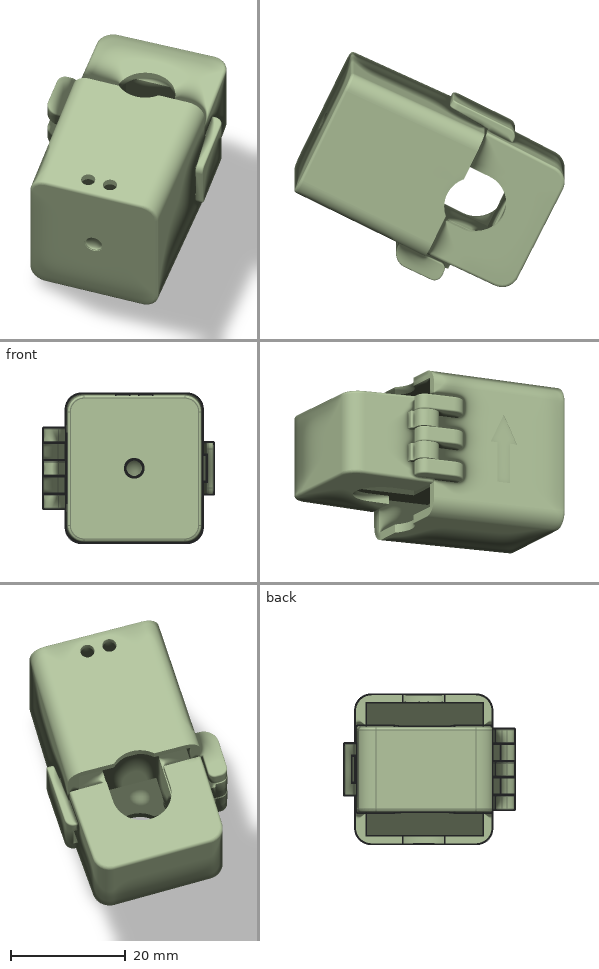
import cadquery as cq
import math


SHELL = 1.5
EDGE_ROUND = 0.5
ROOT_OVERLAP = 1.27

HOUSING_LENGTH = 25.6
HOUSING_WIDTH = 24.05
HOUSING_HEIGHT = 26.2
HOUSING_DRAFT = 0.7
HOUSING_CORNER = 2.9
SCREW_PORT_RADIUS = 1.25
SCREW_PORT_SPACING = 4.0
SCREW_PORT_Y = 3.1
END_WALL = 1.85
DIMPLE_RADIUS = 1.5
DIMPLE_RIM_RADIUS = 1.65
DIMPLE_RIM_DEPTH = 0.13
CABLE_RADIUS = 5.22
CABLE_Y = 29.35

ARROW_Y = 12.0
ARROW_HEIGHT = 12.15
ARROW_HEAD_HEIGHT = 5.05
ARROW_HEAD_WIDTH = 5.1
ARROW_SHAFT_WIDTH = 2.45
ARROW_DEPTH = 0.1

HINGE_X = -13.4
HINGE_Y = 28.2
HINGE_OUTER_X = -15.95
HINGE_PITCH = 5.8
HINGE_TIP_ROUND = 1.5
HINGE_PLAY = 0.065
LUG_BOTTOM_Y = 20.9
LUG_TOP_Y = 30.1
LUG_INNER_X = -12.5
LUG_INNER_ROUND = 1.15
LUG_ROUND = 2.7
LUG_EDGE_ROUND = 0.25
KNUCKLE_HEIGHT = 3.0
LUG_HEIGHT = HINGE_PITCH - KNUCKLE_HEIGHT - 2 * HINGE_PLAY
KNUCKLE_ROUND = HINGE_X - HINGE_OUTER_X
KNUCKLE_TOP_Y = 30.25
KNUCKLE_BOTTOM_Y = HINGE_Y - KNUCKLE_ROUND
WEB_TOP_Y = 30.75
WEB_OUTER_X = -13.38

CAP_SWING = 1.0
CAP_GAP = 0.13
CAP_X = -0.13
CAP_LENGTH = 16.35
CAP_WIDTH = 24.0
CAP_HEIGHT = 15.35
CAP_DRAFT = 1.0
CAP_CORNER = 3.0
CAP_CABLE_Y = 29.6
CAP_Y = HOUSING_LENGTH + CAP_GAP

LATCH_OUTER_X = 13.8
LATCH_TOP_Y = 30.75
LATCH_BOTTOM_Y = 18.1
LATCH_TOP_ROUND = 1.55
LATCH_WIDTH = 9.25
LATCH_TIP_THICKNESS = 1.35
LATCH_TIP_LENGTH = 1.1
LATCH_CORNER = 1.2
LATCH_EDGE_ROUND = 0.25
LATCH_HEEL_X = 11.95
LATCH_HEEL_Y = 25.82
CATCH_X = 12.55
CATCH_WIDTH = 4.6
CATCH_BOTTOM_Y = 20.55
CATCH_LENGTH = 4.67
CATCH_SLOT_X = 12.6
CATCH_SLOT_WIDTH = 4.85
CATCH_TOP_Y = CATCH_BOTTOM_Y + CATCH_LENGTH

CORE_X = -0.15
CORE_LEG = 5.1
CORE_WINDOW = 10.2
CORE_HEIGHT = 11.2
UPPER_WINDOW_DEPTH = 8.9
LOWER_WINDOW_DEPTH = 4.25
CORE_WIDTH = CORE_WINDOW + 2 * CORE_LEG


def tapered_block(width, height, length, draft, y, direction):
    """Rectangular block that narrows from Y = y along direction (+1 or -1) in Y."""
    plane = cq.Plane(origin=(0, y, 0), xDir=(1, 0, 0), normal=(0, direction, 0))
    return cq.Workplane(plane).rect(width, height).extrude(length, taper=draft)


def box(x_range, y_range, height):
    """Box over X and Y ranges, centred on Z = 0."""
    width = x_range[1] - x_range[0]
    length = y_range[1] - y_range[0]
    return (
        cq.Workplane("XY")
        .box(width, length, height)
        .translate((sum(x_range) / 2, sum(y_range) / 2, 0))
    )


def cable_cut(x, y):
    """Round cutter for the cable hole, parallel to Z."""
    return cq.Workplane("XY").center(x, y).circle(CABLE_RADIUS).extrude(HOUSING_HEIGHT, both=True)


def core_half(window_depth, direction):
    """U-shaped core whose legs end level with the open end of the housing, its back toward direction."""
    x = CORE_X
    y = HOUSING_LENGTH
    window_half = CORE_WINDOW / 2
    width_half = CORE_WIDTH / 2
    window_back = y + direction * window_depth
    back = window_back + direction * CORE_LEG
    return (
        cq.Workplane("XY")
        .moveTo(x - width_half, y)
        .lineTo(x - window_half, y)
        .lineTo(x - window_half, window_back)
        .lineTo(x + window_half, window_back)
        .lineTo(x + window_half, y)
        .lineTo(x + width_half, y)
        .lineTo(x + width_half, back)
        .lineTo(x - width_half, back)
        .close()
        .extrude(CORE_HEIGHT / 2, both=True)
    )


def hinge_lug(z):
    """Housing lug of the hinge, centred at height z."""
    root_x = -HOUSING_WIDTH / 2 + ROOT_OVERLAP
    lug = (
        cq.Workplane("XY")
        .moveTo(root_x, LUG_BOTTOM_Y)
        .lineTo(HINGE_OUTER_X, LUG_BOTTOM_Y)
        .lineTo(HINGE_OUTER_X, LUG_TOP_Y)
        .lineTo(LUG_INNER_X, LUG_TOP_Y)
        .lineTo(LUG_INNER_X, HOUSING_LENGTH)
        .lineTo(root_x, HOUSING_LENGTH)
        .close()
        .extrude(LUG_HEIGHT / 2, both=True)
    )
    corners = (
        (HINGE_OUTER_X, LUG_BOTTOM_Y, LUG_ROUND),
        (HINGE_OUTER_X, LUG_TOP_Y, HINGE_TIP_ROUND),
        (LUG_INNER_X, LUG_TOP_Y, LUG_INNER_ROUND),
    )
    for x, y, radius in corners:
        lug = lug.edges(cq.NearestToPointSelector((x, y, 0))).fillet(radius)
    lug = lug.faces("<Z or >Z").edges("not >X").fillet(LUG_EDGE_ROUND)
    return lug.translate((0, 0, z))


def hinge_knuckle(z):
    """Cap knuckle of the hinge with its web, centred at height z."""
    root_x = CAP_X - CAP_WIDTH / 2 + ROOT_OVERLAP
    knuckle = (
        cq.Workplane("XY")
        .moveTo(root_x, KNUCKLE_BOTTOM_Y)
        .lineTo(HINGE_OUTER_X, KNUCKLE_BOTTOM_Y)
        .lineTo(HINGE_OUTER_X, KNUCKLE_TOP_Y)
        .lineTo(WEB_OUTER_X, KNUCKLE_TOP_Y)
        .lineTo(WEB_OUTER_X, WEB_TOP_Y)
        .lineTo(root_x, WEB_TOP_Y)
        .close()
        .extrude(KNUCKLE_HEIGHT / 2, both=True)
    )
    corners = (
        (HINGE_OUTER_X, KNUCKLE_BOTTOM_Y, KNUCKLE_ROUND),
        (HINGE_OUTER_X, KNUCKLE_TOP_Y, HINGE_TIP_ROUND),
        (WEB_OUTER_X, WEB_TOP_Y, LUG_EDGE_ROUND),
    )
    for x, y, radius in corners:
        knuckle = knuckle.edges(cq.NearestToPointSelector((x, y, 0))).fillet(radius)
    return knuckle.translate((0, 0, z))


def screw_ports():
    """Cutters for the two round ports, opening through the +Z plate into the cavity."""
    return (
        cq.Workplane("XY", origin=(0, SCREW_PORT_Y, HOUSING_HEIGHT / 2))
        .pushPoints([(-SCREW_PORT_SPACING / 2, 0), (SCREW_PORT_SPACING / 2, 0)])
        .circle(SCREW_PORT_RADIUS)
        .extrude(-2 * SHELL)
    )


def dimple():
    """Hemispherical recess with a shallow rim in the closed end."""
    rim = cq.Workplane("XZ").circle(DIMPLE_RIM_RADIUS).extrude(-DIMPLE_RIM_DEPTH)
    bowl = cq.Workplane("XY").sphere(DIMPLE_RADIUS).translate((0, DIMPLE_RIM_DEPTH, 0))
    return rim.union(bowl)


def arrow():
    """Upright arrow sunk square to the drafted -X side."""
    draft = math.radians(HOUSING_DRAFT)
    face_x = -HOUSING_WIDTH / 2 + (HOUSING_LENGTH - ARROW_Y) * math.tan(draft)
    plane = cq.Plane(
        origin=(face_x, ARROW_Y, 0),
        xDir=(math.sin(draft), -math.cos(draft), 0),
        normal=(-math.cos(draft), -math.sin(draft), 0),
    )
    tip = ARROW_HEIGHT / 2
    neck = tip - ARROW_HEAD_HEIGHT
    head = ARROW_HEAD_WIDTH / 2
    shaft = ARROW_SHAFT_WIDTH / 2
    return (
        cq.Workplane(plane)
        .polyline([(0, tip), (head, neck), (shaft, neck), (shaft, -tip),
                   (-shaft, -tip), (-shaft, neck), (-head, neck)])
        .close()
        .extrude(-ARROW_DEPTH)
    )


def core_cavity(y_range, height):
    """Chamber as wide as a core half."""
    half_width = CORE_WIDTH / 2
    return box((CORE_X - half_width, CORE_X + half_width), y_range, height)


def make_housing():
    """Hollow drafted box with hinge lugs, latch catch and half of the cable hole."""
    body = tapered_block(HOUSING_WIDTH, HOUSING_HEIGHT, HOUSING_LENGTH, HOUSING_DRAFT, HOUSING_LENGTH, -1)
    body = body.edges("not(|X or |Z)").fillet(HOUSING_CORNER)
    body = body.faces("<Y").edges().fillet(EDGE_ROUND)
    for step in (-1, 0, 1):
        body = body.union(hinge_lug(step * HINGE_PITCH))
    body = body.union(
        box((CATCH_X - ROOT_OVERLAP, CATCH_X), (CATCH_BOTTOM_Y, CATCH_TOP_Y), CATCH_WIDTH)
    )
    body = body.cut(cable_cut(0, CABLE_Y)).cut(screw_ports()).cut(dimple()).cut(arrow())
    return body.cut(core_cavity((END_WALL, HOUSING_LENGTH), HOUSING_HEIGHT - 2 * SHELL))


def latch():
    """Lever on the +X side of the cap, hollowed where it passes over the catch."""
    root_x = CAP_X + CAP_WIDTH / 2 - ROOT_OVERLAP
    tip_x = LATCH_OUTER_X - LATCH_TIP_THICKNESS
    lever = (
        cq.Workplane("XY")
        .moveTo(root_x, LATCH_HEEL_Y)
        .lineTo(LATCH_HEEL_X, LATCH_HEEL_Y)
        .lineTo(tip_x, LATCH_BOTTOM_Y + LATCH_TIP_LENGTH)
        .lineTo(tip_x, LATCH_BOTTOM_Y)
        .lineTo(LATCH_OUTER_X, LATCH_BOTTOM_Y)
        .lineTo(LATCH_OUTER_X, LATCH_TOP_Y)
        .lineTo(root_x, LATCH_TOP_Y)
        .close()
        .extrude(LATCH_WIDTH / 2, both=True)
    )
    lever = lever.edges("|X and <Y").fillet(LATCH_CORNER)
    lever = lever.edges(cq.NearestToPointSelector((LATCH_OUTER_X, LATCH_TOP_Y, 0))).fillet(LATCH_TOP_ROUND)
    lever = lever.faces(">X").edges("not >Y").fillet(LATCH_EDGE_ROUND)
    lever = lever.edges("<Y").fillet(LATCH_EDGE_ROUND)
    slot_x = (CAP_X + CAP_WIDTH / 2, CATCH_SLOT_X)
    return lever.cut(box(slot_x, (LATCH_BOTTOM_Y, LATCH_TOP_Y), CATCH_SLOT_WIDTH))


def make_cap():
    """Hollow drafted cap with hinge knuckles and latch, swung slightly open."""
    body = tapered_block(CAP_WIDTH, CAP_HEIGHT, CAP_LENGTH, CAP_DRAFT, CAP_Y, 1).translate((CAP_X, 0, 0))
    body = body.faces(">Y").edges("<X or >X").fillet(CAP_CORNER)
    body = body.faces("<Z or >Z").edges("not <Y").fillet(EDGE_ROUND)
    for side in (-1, 1):
        body = body.union(hinge_knuckle(side * HINGE_PITCH / 2))
    slot_x = (CAP_X - CABLE_RADIUS, CAP_X + CABLE_RADIUS)
    body = body.cut(cable_cut(CAP_X, CAP_CABLE_Y))
    body = body.cut(box(slot_x, (HOUSING_LENGTH, CAP_CABLE_Y), CAP_HEIGHT))
    body = body.union(latch())
    body = body.rotate((HINGE_X, HINGE_Y, 0), (HINGE_X, HINGE_Y, 1), CAP_SWING)
    core_back = HOUSING_LENGTH + UPPER_WINDOW_DEPTH + CORE_LEG
    return body.cut(core_cavity((HOUSING_LENGTH, core_back), CAP_HEIGHT - 2 * SHELL))


housing = make_housing()
cap = make_cap()
lower_core = core_half(LOWER_WINDOW_DEPTH, -1)
upper_core = core_half(UPPER_WINDOW_DEPTH, 1)

result = cq.Compound.makeCompound([housing.val(), cap.val(), lower_core.val(), upper_core.val()])